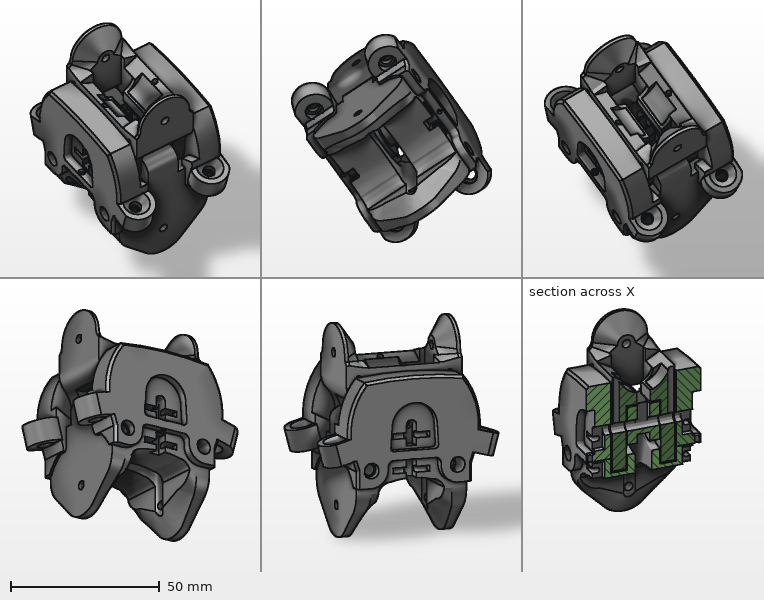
import cadquery as cq
import math

PIVOT_Z = 3.45
PIVOT_BORE = 3.6
DOWEL_X = 15.6
DOWEL_Z = -10.6
MOUNT_HOLE = 3.0

PLATE_OUTER_Y = 41.95 / 2
PLATE_INNER_Y = 11.9
PLATE_THICK = PLATE_OUTER_Y - PLATE_INNER_Y
PLATE_CORNER_X = 17.9
PLATE_CORNER_Z = 19.7
PLATE_TOP_Z = 20.9
PLATE_MAX_X = 24.0
PLATE_FLANK_Z = 0.95
PLATE_WAIST_X = 20.8
PLATE_BOTTOM_Z = -16.6
PLATE_CHAMFER = 0.95
PLATE_DOWEL_HOLE = 5.2
LUG_RADIUS = DOWEL_Z - PLATE_BOTTOM_Z
NOTCH_TOP_Z = -7.6
NOTCH_FILLET = 2.2
STOP_DIAMETER = 1.5
STOP_X = 16.55
STOP_Z = 19.6
RIB_INNER_Y = 8.85
RIB_INNER_X = 17.95
RIB_TOP_Z = 4.1
RIB_INNER_TOP_Z = 1.0
RIB_BOTTOM_Z = -10.85
RIB_FILLET = 1.5

EAR_TILT = 15
EAR_RADIUS = 6.6
EAR_THICK = 7.8
EAR_TIP_X = 64.65 / 2
EAR_X = EAR_TIP_X - EAR_RADIUS * math.cos(math.radians(EAR_TILT))
EAR_Z = 0.0
EAR_Y = 14.95
EAR_ROOT = 5.85
EAR_HOLE = 4.0
EAR_SINK = 9.15
EAR_BORE = 6.0
EAR_BORE_DEPTH = 3.0

POCKET_DEPTH = 3.0
POCKET_FLOOR_Y = PLATE_OUTER_Y - POCKET_DEPTH
POCKET_TOP_RADIUS = 8.2
POCKET_BOTTOM_Z = -4.55
POCKET_BOTTOM_X = 8.7
POCKET_FILLET = 1.4
ANCHOR_DEPTH = 3.65
ANCHOR_PIN = 2.0
ANCHOR_PIN_Z = 0.0
ANCHOR_SLOT_Z = -3.5
ANCHOR_HALF_LENGTH = 6.6
CORD_HOLE = 1.5
CORD_SINK = 2.5
CORD_Y = 19.55

UPPER_X = 41.95 / 2
UPPER_Y = 11.5
UPPER_BEAM_Z = 22.8
UPPER_DISC_RADIUS = 15.9
UPPER_SIDE_Z = 17.9
WINDOW_X = 14.5
WINDOW_Y = 6.2
UPPER_NOTCH_Z = 10.9
GUSSET_X = 12.75
GUSSET_INNER_Z = 24.4
GUSSET_OUTER_Z = 23.0
EYE_Z = 26.65
EYE_RADIUS = 9.95
EYE_RIM_X = 19.7
EYE_BOSS_RADIUS = 3.2
EYE_SHOULDER_Z = 24.0
BEAM_LIP_Z = 19.9
LIP_X = 7.55
LIP_Y = 2.35
LIP_TOP_Z = 15.4
LIP_CURVE = (4.8, 17.0)
RECESS_X = 6.1
RECESS_OUTER_Y = 9.1
RECESS_OUTER_Z = 21.4
RECESS_INNER_Y = 3.2
RECESS_INNER_Z = 15.5
RECESS_CURVE = (6.45, 17.6)
UPPER_CORD_HOLE = 2.0
UPPER_CORD_Y = 10.0

LOWER_X = 20.0
LOWER_Y = POCKET_FLOOR_Y
KNUCKLE_Y = 6.1
KNUCKLE_RADIUS = 4.25
BOWL_RADIUS = 21.2 / 2
BED_GAP = 0.4
BED_RADIUS = UPPER_DISC_RADIUS + BED_GAP
CHEEK_TOP_Z = -2.05
SADDLE_TOP_Z = -14.6
SADDLE_X = 11.85
SADDLE_SIDE_Z = -18.6
LEG_START_Z = -19.05
LEG_BEND_RADIUS = 9.8
FOOT_RADIUS = 21.2 / 2
FOOT_BOTTOM_Z = -36.6
FOOT_RIM_X = 16.9
LOWER_HOLE_Z = -25.7
SLOT_HALF_LENGTH = 12.9
SLOT_WIDTH = 5.7
SLOT_ROUNDING = 1.1
TONGUE_X = DOWEL_X
LOWER_ANCHOR_TOP_Z = -8.3
LOWER_PIN_Z = -11.8
DOWEL_BORE = 4.0

SKIRT_MID = (15.2, -13.7)
SKIRT_EDGE_Y = 17.4

SPOOL_RADIUS = 7.1
SPOOL_NECK_RADIUS = 3.9
SPOOL_NECK_Y = 2.2
SPOOL_RAMP_Z = 7.55


def on_pivot(radius, half_length):
    """Cylinder on the pivot axis, centred on Y = 0."""
    return cq.Workplane("XZ").center(0, PIVOT_Z).circle(radius).extrude(half_length, both=True)


def centred_box(half_x, half_y, z_low, z_high):
    """Box centred on the Z axis."""
    box = cq.Workplane("XY").box(2 * half_x, 2 * half_y, z_high - z_low, centered=(True, True, False))
    return box.translate((0, 0, z_low))


def both_ends(shape):
    """A feature together with its mirror image in Y."""
    return shape.union(shape.mirror("XZ"))


def both_sides(shape):
    """A feature together with its mirror image in X."""
    return shape.union(shape.mirror("YZ"))


def plate_outline(start_y, depth):
    """Plate silhouette with the notch between its two dowel lugs, extruded toward -Y."""
    lug_x = DOWEL_X - LUG_RADIUS
    lug_mid_x = DOWEL_X - LUG_RADIUS * math.sqrt(0.5)
    lug_mid_z = DOWEL_Z - LUG_RADIUS * math.sqrt(0.5)
    flank_mid = (22.55, 11.4)
    waist_top = (22.0, -7.0)
    return (
        cq.Workplane("XZ", origin=(0, -start_y, 0))
        .moveTo(-PLATE_CORNER_X, PLATE_CORNER_Z)
        .threePointArc((0, PLATE_TOP_Z), (PLATE_CORNER_X, PLATE_CORNER_Z))
        .threePointArc(flank_mid, (PLATE_MAX_X, PLATE_FLANK_Z))
        .lineTo(*waist_top)
        .lineTo(PLATE_WAIST_X, DOWEL_Z)
        .lineTo(PLATE_WAIST_X, PLATE_BOTTOM_Z)
        .lineTo(DOWEL_X, PLATE_BOTTOM_Z)
        .threePointArc((lug_mid_x, lug_mid_z), (lug_x, DOWEL_Z))
        .lineTo(lug_x, NOTCH_TOP_Z)
        .lineTo(-lug_x, NOTCH_TOP_Z)
        .lineTo(-lug_x, DOWEL_Z)
        .threePointArc((-lug_mid_x, lug_mid_z), (-DOWEL_X, PLATE_BOTTOM_Z))
        .lineTo(-PLATE_WAIST_X, PLATE_BOTTOM_Z)
        .lineTo(-PLATE_WAIST_X, DOWEL_Z)
        .lineTo(-waist_top[0], waist_top[1])
        .lineTo(-PLATE_MAX_X, PLATE_FLANK_Z)
        .threePointArc((-flank_mid[0], flank_mid[1]), (-PLATE_CORNER_X, PLATE_CORNER_Z))
        .close()
        .extrude(depth)
    )


def plate_blank():
    """Plate with rounded notch corners and a chamfered outer rim."""
    blank = plate_outline(PLATE_INNER_Y, PLATE_THICK)
    notch_x = DOWEL_X - LUG_RADIUS
    margin = 0.7
    notch_corners = cq.selectors.BoxSelector(
        (-notch_x - margin, -PLATE_OUTER_Y, NOTCH_TOP_Z - margin),
        (notch_x + margin, 0, NOTCH_TOP_Z + margin),
    )
    blank = blank.edges("|Y").edges(notch_corners).fillet(NOTCH_FILLET)
    flank_low_z = 7.3
    waist_x = PLATE_WAIST_X - margin
    far = 2 * PLATE_MAX_X
    top = cq.selectors.BoxSelector((-far, -far, flank_low_z), (far, 0, far))
    right = cq.selectors.BoxSelector((waist_x, -far, PLATE_BOTTOM_Z), (far, 0, flank_low_z))
    left = cq.selectors.BoxSelector((-far, -far, PLATE_BOTTOM_Z), (-waist_x, 0, flank_low_z))
    return blank.faces("<Y").edges(top + right + left).chamfer(PLATE_CHAMFER)


def place_on_ear(shape, side):
    """Tilt a shape built about the Z axis and move it to the ear at the +X or -X side."""
    placed = shape.rotate((0, 0, 0), (0, 1, 0), EAR_TILT).translate((EAR_X, -EAR_Y, EAR_Z))
    return placed if side > 0 else placed.mirror("YZ")


def ear(side):
    """Tilted screw ear, still without its hole; side is +1 for +X and -1 for -X."""
    root_width = PLATE_OUTER_Y - RIB_INNER_Y
    root_middle = EAR_Y - (RIB_INNER_Y + PLATE_OUTER_Y) / 2
    root = cq.Workplane("XY").center(-EAR_ROOT / 2, root_middle).rect(EAR_ROOT, root_width)
    pad = cq.Workplane("XY").circle(EAR_RADIUS).extrude(-EAR_THICK).union(root.extrude(-EAR_THICK))
    trim_y = EAR_Y - PLATE_OUTER_Y - EAR_RADIUS
    outer_trim = cq.Workplane("XY").center(0, trim_y).rect(4 * EAR_RADIUS, 2 * EAR_RADIUS)
    outer_trim = outer_trim.extrude(2 * EAR_THICK, both=True)
    return place_on_ear(pad.cut(outer_trim), side)


def ear_hole(side):
    """Screw hole of an ear, countersunk above and counterbored below."""
    sink_depth = (EAR_SINK - EAR_HOLE) / 2
    hole = cq.Workplane("XY").circle(EAR_HOLE / 2).extrude(-EAR_THICK)
    sink = cq.Workplane("XY").circle(EAR_SINK / 2).workplane(offset=-sink_depth).circle(EAR_HOLE / 2).loft()
    bore = cq.Workplane("XY", origin=(0, 0, -EAR_THICK)).circle(EAR_BORE / 2).extrude(EAR_BORE_DEPTH)
    return place_on_ear(hole.union(sink).union(bore), side)


def plate_rib():
    """Thick inner edges of the plate beside each ear, its top sloping down toward the middle."""
    rim = plate_outline(RIB_INNER_Y, PLATE_INNER_Y - RIB_INNER_Y + 0.7)
    band = (
        cq.Workplane("XZ")
        .moveTo(PLATE_MAX_X + 0.7, RIB_BOTTOM_Z)
        .lineTo(PLATE_MAX_X + 0.7, RIB_TOP_Z)
        .lineTo(PLATE_MAX_X, RIB_TOP_Z)
        .lineTo(RIB_INNER_X, RIB_INNER_TOP_Z)
        .lineTo(RIB_INNER_X, RIB_BOTTOM_Z)
        .close()
        .extrude(PLATE_OUTER_Y)
    )
    rib = rim.intersect(both_sides(band))
    return rib.edges("|X and >Y and <Z").fillet(RIB_FILLET)


def lug_undercut():
    """Curved hollow on the inner side of the lugs, which rides on the lower bracket's shoulder."""
    return (
        cq.Workplane("YZ")
        .moveTo(0, RIB_BOTTOM_Z)
        .lineTo(-PLATE_INNER_Y, RIB_BOTTOM_Z)
        .threePointArc((-SKIRT_MID[0], SKIRT_MID[1]), (-SKIRT_EDGE_Y, PLATE_BOTTOM_Z))
        .lineTo(0, PLATE_BOTTOM_Z)
        .close()
        .extrude(PLATE_MAX_X, both=True)
    )


def plate_pocket():
    """D-shaped window recess with rounded lower corners."""
    tool = (
        cq.Workplane("XZ", origin=(0, -POCKET_FLOOR_Y, 0))
        .moveTo(-POCKET_BOTTOM_X, POCKET_BOTTOM_Z)
        .lineTo(POCKET_BOTTOM_X, POCKET_BOTTOM_Z)
        .lineTo(POCKET_TOP_RADIUS, PIVOT_Z)
        .threePointArc((0, PIVOT_Z + POCKET_TOP_RADIUS), (-POCKET_TOP_RADIUS, PIVOT_Z))
        .close()
        .extrude(POCKET_DEPTH)
    )
    return tool.edges("|Y and <Z").fillet(POCKET_FILLET)


def anchor_slot(z_low, z_high, pin_z):
    """Vertical cord slot crossed by a round-bottomed seat for an anchor pin."""
    slot = centred_box(PIVOT_BORE / 2, ANCHOR_DEPTH / 2, z_low, z_high)
    slot = slot.translate((0, ANCHOR_DEPTH / 2 - POCKET_FLOOR_Y, 0))
    seat_depth = ANCHOR_DEPTH - ANCHOR_PIN
    seat = centred_box(ANCHOR_HALF_LENGTH, seat_depth / 2, pin_z - ANCHOR_PIN / 2, pin_z + ANCHOR_PIN / 2)
    seat = seat.translate((0, seat_depth / 2 - POCKET_FLOOR_Y, 0))
    bottom = (
        cq.Workplane("YZ")
        .center(seat_depth - POCKET_FLOOR_Y, pin_z)
        .circle(ANCHOR_PIN / 2)
        .extrude(ANCHOR_HALF_LENGTH, both=True)
    )
    return slot.union(seat).union(bottom)


def cord_hole():
    """Countersunk cord hole through the bar below the window."""
    bar = POCKET_BOTTOM_Z - NOTCH_TOP_Z
    sink = (CORD_SINK - CORD_HOLE) / 2
    hole = cq.Workplane("XY").circle(CORD_HOLE / 2).extrude(-bar)
    cone = cq.Workplane("XY").circle(CORD_SINK / 2).workplane(offset=-sink).circle(CORD_HOLE / 2).loft()
    return hole.union(cone).translate((0, -CORD_Y, POCKET_BOTTOM_Z))


def stop_pads():
    """Small round pads at the inner top corners of the plate."""
    gap = PLATE_INNER_Y - UPPER_Y
    return (
        cq.Workplane("XZ", origin=(0, -UPPER_Y, 0))
        .pushPoints([(-STOP_X, STOP_Z), (STOP_X, STOP_Z)])
        .circle(STOP_DIAMETER / 2)
        .extrude(gap)
    )


def side_plate():
    """Plate at the -Y end."""
    plate = plate_blank().cut(lug_undercut()).union(plate_rib()).union(stop_pads())
    for side in (-1, 1):
        plate = plate.union(ear(side)).cut(ear_hole(side))
    dowels = (
        cq.Workplane("XZ")
        .pushPoints([(-DOWEL_X, DOWEL_Z), (DOWEL_X, DOWEL_Z)])
        .circle(PLATE_DOWEL_HOLE / 2)
        .extrude(2 * PLATE_OUTER_Y)
    )
    return (
        plate.cut(dowels)
        .cut(plate_pocket())
        .cut(anchor_slot(ANCHOR_SLOT_Z, PIVOT_Z, ANCHOR_PIN_Z))
        .cut(on_pivot(PIVOT_BORE / 2, PLATE_OUTER_Y))
        .cut(cord_hole())
    )


def upper_core():
    """Side silhouette: a wide block necking down to a disc about the pivot."""
    neck_z = 3.65
    neck_x = math.sqrt(UPPER_DISC_RADIUS**2 - (neck_z - PIVOT_Z) ** 2)
    shoulder = (20.35, 14.35)
    mid_x = 18.6
    mid_z = 11.85
    hollow_x = 16.6
    hollow_z = 8.7
    outline = (
        cq.Workplane("XZ")
        .moveTo(-UPPER_X, UPPER_BEAM_Z)
        .lineTo(UPPER_X, UPPER_BEAM_Z)
        .lineTo(UPPER_X, UPPER_SIDE_Z)
        .threePointArc(shoulder, (mid_x, mid_z))
        .threePointArc((hollow_x, hollow_z), (neck_x, neck_z))
        .threePointArc((0, PIVOT_Z - UPPER_DISC_RADIUS), (-neck_x, neck_z))
        .threePointArc((-hollow_x, hollow_z), (-mid_x, mid_z))
        .threePointArc((-shoulder[0], shoulder[1]), (-UPPER_X, UPPER_SIDE_Z))
        .close()
        .extrude(UPPER_Y, both=True)
    )
    trough = (
        cq.Workplane("YZ")
        .moveTo(-UPPER_Y, UPPER_BEAM_Z)
        .lineTo(-WINDOW_Y, BEAM_LIP_Z)
        .lineTo(WINDOW_Y, BEAM_LIP_Z)
        .lineTo(UPPER_Y, UPPER_BEAM_Z)
        .close()
        .extrude(GUSSET_X, both=True)
    )
    window = centred_box(WINDOW_X, WINDOW_Y, UPPER_NOTCH_Z, UPPER_BEAM_Z)
    knuckle_gap = centred_box(UPPER_X, WINDOW_Y, PIVOT_Z - UPPER_DISC_RADIUS - 0.7, UPPER_NOTCH_Z)
    return outline.cut(trough).cut(window).cut(knuckle_gap)


def eye_plate():
    """Mounting eye at the -X side: flat outside, tapering to a boss inside."""
    neck_y = 10.4
    neck_z = 25.2
    rim = (
        cq.Workplane("YZ", origin=(-UPPER_X, 0, 0))
        .moveTo(-UPPER_Y, UPPER_SIDE_Z)
        .lineTo(-UPPER_Y, EYE_SHOULDER_Z)
        .lineTo(-neck_y, neck_z)
        .lineTo(-EYE_RADIUS, EYE_Z)
        .threePointArc((0, EYE_Z + EYE_RADIUS), (EYE_RADIUS, EYE_Z))
        .lineTo(neck_y, neck_z)
        .lineTo(UPPER_Y, EYE_SHOULDER_Z)
        .lineTo(UPPER_Y, UPPER_SIDE_Z)
        .close()
        .extrude(UPPER_X - EYE_RIM_X)
    )
    cone = (
        cq.Workplane("YZ", origin=(-EYE_RIM_X, 0, EYE_Z))
        .circle(EYE_RADIUS)
        .workplane(offset=EYE_RIM_X - WINDOW_X)
        .circle(EYE_BOSS_RADIUS)
        .loft()
    )
    outer = [(EYE_RADIUS, EYE_Z), (neck_y, neck_z), (UPPER_Y, EYE_SHOULDER_Z)]
    inner = [(EYE_BOSS_RADIUS, EYE_Z), (WINDOW_Y, GUSSET_INNER_Z), (UPPER_Y, GUSSET_OUTER_Z)]
    base = [(UPPER_Y, UPPER_SIDE_Z)]

    def symmetric(points):
        return points + [(-y, z) for y, z in reversed(points)]

    flare = (
        cq.Workplane("YZ", origin=(-EYE_RIM_X, 0, 0))
        .polyline(symmetric(outer + base))
        .close()
        .workplane(offset=EYE_RIM_X - WINDOW_X)
        .polyline(symmetric(inner + base))
        .close()
        .loft(ruled=True)
    )
    return rim.union(cone).union(flare)


def gusset():
    """Sloped end of one beam beside the -X eye, at the -Y end."""
    return (
        cq.Workplane("YZ", origin=(-WINDOW_X, 0, 0))
        .moveTo(-WINDOW_Y, GUSSET_INNER_Z)
        .lineTo(-UPPER_Y, GUSSET_OUTER_Z)
        .lineTo(-UPPER_Y, UPPER_SIDE_Z)
        .lineTo(-WINDOW_Y, UPPER_SIDE_Z)
        .close()
        .extrude(WINDOW_X - GUSSET_X)
    )


def beam_lip():
    """Lip that curves from the -Y beam in over the spool, with a shallow cord guide in its top."""
    return (
        cq.Workplane("YZ")
        .moveTo(-WINDOW_Y, BEAM_LIP_Z)
        .threePointArc((-LIP_CURVE[0], LIP_CURVE[1]), (-LIP_Y, LIP_TOP_Z))
        .lineTo(-LIP_Y, UPPER_NOTCH_Z)
        .lineTo(-WINDOW_Y - 0.7, UPPER_NOTCH_Z)
        .lineTo(-WINDOW_Y - 0.7, BEAM_LIP_Z)
        .close()
        .extrude(LIP_X, both=True)
    )


def lip_recess():
    """Cord guide sunk into the -Y beam and its lip."""
    return (
        cq.Workplane("YZ")
        .moveTo(-RECESS_OUTER_Y, UPPER_BEAM_Z)
        .lineTo(-RECESS_OUTER_Y, RECESS_OUTER_Z)
        .threePointArc((-RECESS_CURVE[0], RECESS_CURVE[1]), (-RECESS_INNER_Y, RECESS_INNER_Z))
        .lineTo(-RECESS_INNER_Y, UPPER_BEAM_Z)
        .close()
        .extrude(RECESS_X, both=True)
    )


def upper_bracket():
    """Bracket that swings about the pivot between the side plates."""
    bracket = upper_core().union(both_sides(eye_plate()))
    bracket = bracket.union(both_ends(both_sides(gusset()))).union(both_ends(beam_lip()))
    bracket = bracket.cut(both_ends(lip_recess()))
    eye_holes = cq.Workplane("YZ").center(0, EYE_Z).circle(MOUNT_HOLE / 2).extrude(UPPER_X, both=True)
    cord_holes = (
        cq.Workplane("XY", origin=(0, 0, PIVOT_Z))
        .pushPoints([(0, -UPPER_CORD_Y), (0, UPPER_CORD_Y)])
        .circle(UPPER_CORD_HOLE / 2)
        .extrude(UPPER_BEAM_Z)
    )
    return bracket.cut(eye_holes).cut(cord_holes).cut(on_pivot(PIVOT_BORE / 2, UPPER_Y))


def knuckle():
    """Central web: two rounded lobes on either side of a bowl about the pivot."""
    lobe_x = LOWER_X - KNUCKLE_RADIUS
    lobe_z = 2.7
    lobe_top = lobe_z + KNUCKLE_RADIUS
    half_root = math.sqrt(0.5)
    lobe_mid = (lobe_x + KNUCKLE_RADIUS * half_root, lobe_z + KNUCKLE_RADIUS * half_root)
    flank = (12.15, 6.15)
    bowl_rim = (10.25, 5.3)
    web = (
        cq.Workplane("XZ")
        .moveTo(-LOWER_X, SADDLE_SIDE_Z)
        .lineTo(-LOWER_X, lobe_z)
        .threePointArc((-lobe_mid[0], lobe_mid[1]), (-lobe_x, lobe_top))
        .tangentArcPoint((-flank[0], flank[1]), relative=False)
        .lineTo(-bowl_rim[0], bowl_rim[1])
        .lineTo(*bowl_rim)
        .lineTo(*flank)
        .tangentArcPoint((lobe_x, lobe_top), relative=False)
        .threePointArc(lobe_mid, (LOWER_X, lobe_z))
        .lineTo(LOWER_X, SADDLE_SIDE_Z)
        .close()
        .extrude(KNUCKLE_Y, both=True)
    )
    return web.cut(on_pivot(BOWL_RADIUS, KNUCKLE_Y))


def cheeks():
    """Shoulders on both sides of the web, bedding the discs of the upper bracket."""
    shoulder = centred_box(LOWER_X, PLATE_INNER_Y, LEG_START_Z, CHEEK_TOP_Z)
    skirt = (
        cq.Workplane("YZ")
        .moveTo(-PLATE_INNER_Y, RIB_BOTTOM_Z)
        .threePointArc((-SKIRT_MID[0], SKIRT_MID[1]), (-SKIRT_EDGE_Y, PLATE_BOTTOM_Z))
        .lineTo(-LOWER_Y, PLATE_BOTTOM_Z)
        .lineTo(-LOWER_Y, LEG_START_Z)
        .lineTo(LOWER_Y, LEG_START_Z)
        .lineTo(LOWER_Y, PLATE_BOTTOM_Z)
        .lineTo(SKIRT_EDGE_Y, PLATE_BOTTOM_Z)
        .threePointArc(SKIRT_MID, (PLATE_INNER_Y, RIB_BOTTOM_Z))
        .close()
        .extrude(LOWER_X, both=True)
    )
    tongue = centred_box(TONGUE_X, LOWER_Y, LEG_START_Z, NOTCH_TOP_Z)
    return shoulder.union(skirt).union(tongue).cut(on_pivot(BED_RADIUS, PLATE_INNER_Y))


def saddle():
    """Arched clearance under the bracket, between the legs."""
    haunch_x = 7.55
    haunch_z = -15.5
    curve_x = 10.55
    curve_z = -16.7
    return (
        cq.Workplane("XZ")
        .moveTo(-SADDLE_X, FOOT_BOTTOM_Z)
        .lineTo(-SADDLE_X, SADDLE_SIDE_Z)
        .threePointArc((-curve_x, curve_z), (-haunch_x, haunch_z))
        .threePointArc((0, SADDLE_TOP_Z), (haunch_x, haunch_z))
        .threePointArc((curve_x, curve_z), (SADDLE_X, SADDLE_SIDE_Z))
        .lineTo(SADDLE_X, FOOT_BOTTOM_Z)
        .close()
        .extrude(LOWER_Y, both=True)
    )


def leg_outline(plane, bend, straight_end, foot, bend_mid):
    """Tapering leg outline from the shoulders to a rounded foot."""
    return (
        plane.moveTo(-LOWER_Y, LEG_START_Z)
        .threePointArc((-bend_mid[0], bend_mid[1]), (-bend[0], bend[1]))
        .lineTo(-straight_end[0], straight_end[1])
        .threePointArc((0, foot), straight_end)
        .lineTo(*bend)
        .threePointArc(bend_mid, (LOWER_Y, LEG_START_Z))
        .close()
    )


def leg():
    """Leg at the -X side: flat outside, its inner side tapering toward the foot."""
    half_root = math.sqrt(0.5)
    bend_centre_y = LOWER_Y - LEG_BEND_RADIUS
    bend = (bend_centre_y + LEG_BEND_RADIUS * half_root, LEG_START_Z - LEG_BEND_RADIUS * half_root)
    bend_half = math.radians(45 / 2)
    bend_mid = (
        bend_centre_y + LEG_BEND_RADIUS * math.cos(bend_half),
        LEG_START_Z - LEG_BEND_RADIUS * math.sin(bend_half),
    )
    toe_rise = FOOT_RADIUS - math.sqrt(FOOT_RADIUS**2 - KNUCKLE_Y**2)
    toe = (KNUCKLE_Y, FOOT_BOTTOM_Z + toe_rise)
    outer = cq.Workplane("YZ", origin=(-LOWER_X, 0, 0))
    blank = leg_outline(outer, bend, toe, FOOT_BOTTOM_Z, bend_mid).extrude(LOWER_X - SADDLE_X)
    slab_depth = LOWER_X - FOOT_RIM_X
    slab = centred_box(slab_depth, LOWER_Y, FOOT_BOTTOM_Z, LEG_START_Z).translate((-LOWER_X, 0, 0))
    rim_bend = (16.55, -26.6)
    rim_mid = (18.3, -23.8)
    inner_bend = (11.0, -23.8)
    inner_mid = (16.1, -21.7)
    inner_toe = (2.9, -27.25)
    inner_foot = -27.8
    rim = cq.Workplane("YZ", origin=(-FOOT_RIM_X, 0, 0))
    rim = leg_outline(rim, rim_bend, toe, FOOT_BOTTOM_Z, rim_mid).workplane(offset=FOOT_RIM_X - SADDLE_X)
    taper = leg_outline(rim, inner_bend, inner_toe, inner_foot, inner_mid).loft(ruled=True)
    return blank.intersect(slab.union(taper))


def round_slot_ends(bracket):
    """Round the top edges of the central slot where it opens through the lobes."""
    margin = 0.15
    near_x = SLOT_HALF_LENGTH - SLOT_WIDTH / 2 + margin
    far_x = LOWER_X - KNUCKLE_RADIUS
    edge_y = SLOT_WIDTH / 2 + 2 * margin
    top_z = 2 * KNUCKLE_RADIUS
    right_end = cq.selectors.BoxSelector((near_x, -edge_y, 0), (far_x, edge_y, top_z))
    left_end = cq.selectors.BoxSelector((-far_x, -edge_y, 0), (-near_x, edge_y, top_z))
    return bracket.edges(right_end + left_end).fillet(SLOT_ROUNDING)


def lower_bracket(plates):
    """Bracket fitted into the hollows of the side plates."""
    bracket = cheeks().union(knuckle()).union(both_sides(leg()))
    bracket = bracket.cut(saddle())
    slot = (
        cq.Workplane("XY", origin=(0, 0, FOOT_BOTTOM_Z))
        .slot2D(2 * SLOT_HALF_LENGTH, SLOT_WIDTH)
        .extrude(-2 * FOOT_BOTTOM_Z)
    )
    mount_holes = cq.Workplane("YZ").center(0, LOWER_HOLE_Z).circle(MOUNT_HOLE / 2)
    mount_holes = mount_holes.extrude(LOWER_X, both=True)
    dowels = (
        cq.Workplane("XZ")
        .pushPoints([(-DOWEL_X, DOWEL_Z), (DOWEL_X, DOWEL_Z)])
        .circle(DOWEL_BORE / 2)
        .extrude(LOWER_Y, both=True)
    )
    anchors = both_ends(anchor_slot(SADDLE_SIDE_Z, LOWER_ANCHOR_TOP_Z, LOWER_PIN_Z))
    bracket = bracket.cut(slot).cut(mount_holes).cut(dowels).cut(anchors)
    for plate in plates:
        bracket = bracket.cut(plate)
    return round_slot_ends(bracket)


def spool():
    """Flanged roller on the pivot, its neck open at the top for the cord."""
    flanges = on_pivot(SPOOL_RADIUS, KNUCKLE_Y).cut(on_pivot(SPOOL_RADIUS, SPOOL_NECK_Y))
    top_z = PIVOT_Z + SPOOL_RADIUS
    ramps = (
        cq.Workplane("XZ")
        .moveTo(-SPOOL_NECK_RADIUS, PIVOT_Z)
        .lineTo(-SPOOL_NECK_RADIUS, SPOOL_RAMP_Z)
        .lineTo(-PIVOT_BORE / 2, top_z)
        .lineTo(PIVOT_BORE / 2, top_z)
        .lineTo(SPOOL_NECK_RADIUS, SPOOL_RAMP_Z)
        .lineTo(SPOOL_NECK_RADIUS, PIVOT_Z)
        .close()
        .extrude(SPOOL_NECK_Y, both=True)
        .intersect(on_pivot(SPOOL_RADIUS, SPOOL_NECK_Y))
    )
    body = flanges.union(on_pivot(SPOOL_NECK_RADIUS, KNUCKLE_Y)).union(ramps)
    cord_opening = centred_box(PIVOT_BORE / 2, SPOOL_NECK_Y, PIVOT_Z, top_z)
    return body.cut(on_pivot(PIVOT_BORE / 2, KNUCKLE_Y)).cut(cord_opening)


front_plate = side_plate()
plates = [front_plate, front_plate.mirror("XZ")]
upper = upper_bracket()
lower = lower_bracket(plates)
roller = spool()

bodies = [*plates, upper, lower, roller]
result = cq.Compound.makeCompound([solid for body in bodies for solid in body.solids().vals()])